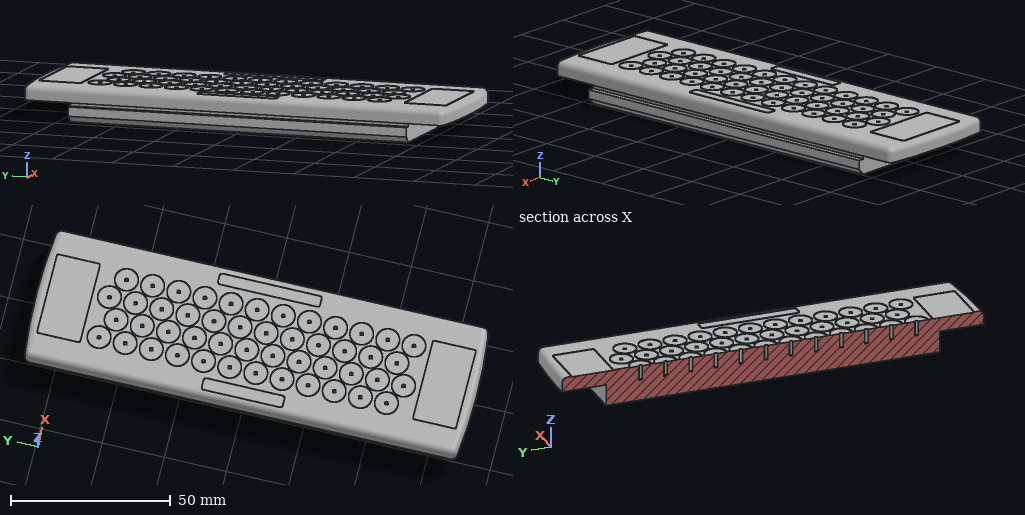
import cadquery as cq

plate_length = 141.7
plate_width = 44.0
plate_thickness = 5.0
end_bow = 1.4
corner_radius = 2.0
top_edge_radius = 2.0

total_height = 12.0
rail_length = 112.0
rail_offset_x = 1.5
foot_width = 40.0
neck_inset = 2.0
neck_height = 2.0
foot_chamfer = 2.1

columns = 4
rows = 12
column_span = 20.5
row_span = 92.5
stagger = 3.8
seat_diameter = 7.4
seat_depth = 0.1
hole_diameter = 1.0

recess_depth = 0.1
panel_width = 26.9
panel_corner_radius = 0.5
panel_length = 13.9
panel_center_y = 60.5
left_strip_width = 4.0
left_strip_length = 26.1
left_strip_x = -17.6
right_strip_width = 3.7
right_strip_length = 32.9
right_strip_x = 17.6
strip_corner_radius = 0.9

top_z = total_height
plate_bottom_z = total_height - plate_thickness


def make_plate():
    half_width = plate_width / 2
    end_y = plate_length / 2
    side_y = end_y - end_bow
    outline = (
        cq.Workplane("XY", origin=(0, 0, plate_bottom_z))
        .moveTo(-half_width, -side_y)
        .threePointArc((0, -end_y), (half_width, -side_y))
        .lineTo(half_width, side_y)
        .threePointArc((0, end_y), (-half_width, side_y))
        .close()
    )
    plate = outline.extrude(plate_thickness).edges("|Z").fillet(corner_radius)
    return plate.faces(">Z").edges().fillet(top_edge_radius)


def make_rail():
    foot_height = plate_bottom_z - neck_height
    neck_width = foot_width - 2 * neck_inset
    foot = (
        cq.Workplane("XY")
        .box(foot_width, rail_length, foot_height, centered=(True, True, False))
        .faces("<Z").edges("|Y").chamfer(foot_chamfer)
    )
    neck = (
        cq.Workplane("XY", origin=(0, 0, foot_height))
        .box(neck_width, rail_length, neck_height, centered=(True, True, False))
    )
    return foot.union(neck).translate((rail_offset_x, 0, 0))


def seat_centers():
    column_pitch = column_span / (columns - 1)
    row_pitch = row_span / (rows - 1)
    points = []
    for column in range(columns):
        x = column * column_pitch - column_span / 2
        shift = stagger / 2 if column % 2 == 0 else -stagger / 2
        for row in range(rows):
            points.append((x, row * row_pitch - row_span / 2 + shift))
    return points


def make_seats_and_holes():
    face = cq.Workplane("XY", origin=(0, 0, top_z)).pushPoints(seat_centers())
    seats = face.circle(seat_diameter / 2).extrude(-seat_depth)
    holes = face.circle(hole_diameter / 2).extrude(-plate_thickness)
    return seats.union(holes)


def make_recess(width, length, x, y, radius):
    return (
        cq.Workplane("XY", origin=(x, y, top_z - recess_depth))
        .rect(width, length)
        .extrude(recess_depth)
        .edges("|Z").fillet(radius)
    )


recesses = [
    make_recess(panel_width, panel_length, 0, -panel_center_y, panel_corner_radius),
    make_recess(panel_width, panel_length, 0, panel_center_y, panel_corner_radius),
    make_recess(left_strip_width, left_strip_length, left_strip_x, 0, strip_corner_radius),
    make_recess(right_strip_width, right_strip_length, right_strip_x, 0, strip_corner_radius),
]

result = make_plate().union(make_rail()).cut(make_seats_and_holes())
for recess in recesses:
    result = result.cut(recess)